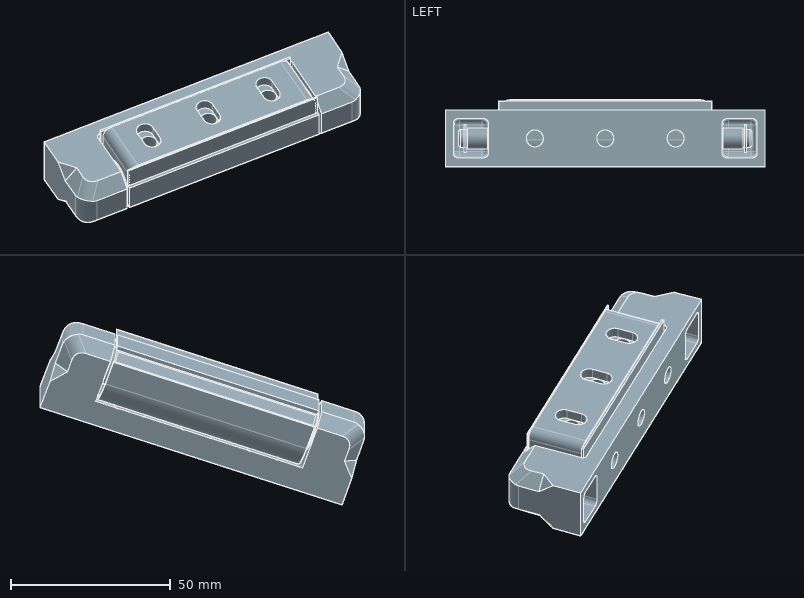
import cadquery as cq
housing_length = 100.0
housing_width = 26.0
housing_height = 17.8
half_length = housing_length / 2
mid_height = housing_height / 2

corner_radius = 5.0
bevel = 4.3
nose_start = 14.2
draft_angle = 0.5
run_out_start = 9.2

recess_wall = 5.0
recess_half_length = 34.2
recess_foot = 7.8
recess_sweep_radius = 15.0
recess_corner_radius = 1.2

screw_pitch = 22.0
screw_hole_diameter = 5.3
screw_head_diameter = 10.2

pocket_inner = 36.5
pocket_outer = 47.5
pocket_bottom = 2.8
pocket_top = 15.1
pocket_depth = 22.0
pocket_radius = 1.6
pocket_draft = 1.0

leaf_half_length = 32.7
leaf_top = 21.0
leaf_end_radius = 3.0
sheet_half_length = 33.3
sheet_top = 20.6
liner_face = 5.9
liner_thickness = 0.7
liner_bend_radius = 8.4
liner_floor_end = 22.0
cover_inner = 24.6
cover_outer = 25.0
leaf_face = liner_face + liner_thickness
leaf_foot_chamfer = 2.5

slot_pitch = 21.0
slot_x = 15.1
slot_length = 10.2
slot_width = 5.4
slot_depth = 3.5
leaf_hole_diameter = 5.3

pin_x = 17.2
pin_z = mid_height
pin_radius = 3.3
pin_start = 24.0
shank_end = 43.0
pin_end = 45.9
neck_radius = 2.8
pin_tip_chamfer = 0.6
washer_radius = 6.2
washer_waist_radius = 5.5
washer_rim = 0.2
ring_radius = 4.4
ring_start = 43.5
ring_thickness = 0.6


def box_between(x0, x1, y0, y1, z0, z1):
    """Axis-aligned box between two limits on each axis."""
    return cq.Workplane("XY").box(x1 - x0, y1 - y0, z1 - z0, centered=False).translate((x0, y0, z0))


def tetrahedron(a, b, c, d):
    faces = [
        cq.Face.makeFromWires(cq.Wire.makePolygon([cq.Vector(*p) for p in corners], close=True))
        for corners in ((a, b, c), (a, b, d), (b, c, d), (a, c, d))
    ]
    return cq.Workplane(obj=cq.Solid.makeSolid(cq.Shell.makeShell(faces)))


def disc(y0, y1, radius):
    """Cylinder on the hinge axis between two Y positions."""
    return cq.Workplane("XZ", origin=(pin_x, y0, pin_z)).circle(radius).extrude(-(y1 - y0))


def on_side(body, side):
    """Body made for the +Y end, mirrored when side is -1."""
    return body if side > 0 else body.mirror("XZ")


def housing_blank():
    """Full block, drafted toward +X, with rounded +X corners."""
    return (
        cq.Workplane("YZ", origin=(0, 0, mid_height))
        .rect(housing_length, housing_height)
        .extrude(housing_width, taper=draft_angle)
        .edges("|Z and >X")
        .fillet(corner_radius)
    )


def bevel_envelope():
    """Upper half of the 45 degree envelope that shapes the nose, with rounded mitres."""
    spread = mid_height - bevel
    tail = -housing_width
    face = housing_width + spread
    return (
        cq.Workplane("XY")
        .workplane(offset=mid_height)
        .center((tail + face) / 2, 0)
        .rect(face - tail, 2 * (half_length + spread))
        .extrude(mid_height, taper=45)
        .edges("not (|X or |Y)")
        .fillet(corner_radius)
    )


def nose_bevel(blank):
    """Material removed along the upper nose edges, with a sloping run-out at each end."""
    upper_nose = box_between(
        nose_start, housing_width, -half_length, half_length, mid_height, housing_height
    )
    removed = blank.intersect(upper_nose).cut(bevel_envelope())
    run_out = tetrahedron(
        (run_out_start, half_length, housing_height),
        (nose_start, half_length - bevel, housing_height),
        (nose_start, half_length, housing_height),
        (nose_start, half_length, housing_height - bevel),
    )
    return [removed, run_out, run_out.mirror("XZ")]


def leaf_recess():
    """Opening for the leaf, with a back wall that sweeps forward at its foot."""
    centre_x = recess_wall + recess_sweep_radius
    centre_z = (recess_sweep_radius ** 2 - (centre_x - recess_foot) ** 2) ** 0.5
    swept = (
        cq.Workplane("XZ", origin=(0, recess_half_length, 0))
        .moveTo(housing_width, 0)
        .lineTo(recess_foot, 0)
        .radiusArc((recess_wall, centre_z), recess_sweep_radius)
        .lineTo(recess_wall, housing_height)
        .lineTo(housing_width, housing_height)
        .close()
        .extrude(2 * recess_half_length)
    )
    rounded = box_between(
        recess_wall, housing_width, -recess_half_length, recess_half_length, 0, housing_height
    ).edges("|Z and <X").fillet(recess_corner_radius)
    return swept.intersect(rounded)


def screw_hole(y):
    sink_depth = (screw_head_diameter - screw_hole_diameter) / 2
    return (
        cq.Workplane("XY")
        .polyline([
            (0, 0), (0, screw_hole_diameter / 2),
            (recess_wall - sink_depth, screw_hole_diameter / 2),
            (recess_wall, screw_head_diameter / 2),
            (recess_foot, screw_head_diameter / 2), (recess_foot, 0),
        ])
        .close()
        .revolve(360, (0, 0, 0), (1, 0, 0))
        .translate((0, y, mid_height))
    )


def pin_pocket():
    """Drafted pocket at the +Y end, rounded at its corners and round its floor."""
    centre = (0, (pocket_inner + pocket_outer) / 2, (pocket_bottom + pocket_top) / 2)
    return (
        cq.Workplane("YZ", origin=centre)
        .rect(pocket_outer - pocket_inner, pocket_top - pocket_bottom)
        .extrude(pocket_depth, taper=pocket_draft)
        .edges("not <X")
        .fillet(pocket_radius)
    )


def make_housing():
    blank = housing_blank()
    body = blank
    for cutter in nose_bevel(blank):
        lower_cutter = cutter.mirror("XY", (0, 0, mid_height))
        body = body.cut(cutter).cut(lower_cutter)
    body = body.cut(leaf_recess())
    for row in (-1, 0, 1):
        body = body.cut(screw_hole(row * screw_pitch))
    for side in (-1, 1):
        body = body.cut(on_side(pin_pocket(), side))
        body = body.cut(on_side(disc(recess_half_length, shank_end, pin_radius), side))
    return body


def make_liner():
    """Bent sheet: wall on the -X side, bend, and floor under the leaf."""
    bend_x = liner_face + liner_bend_radius
    inner_radius = liner_bend_radius - liner_thickness
    return (
        cq.Workplane("XZ", origin=(0, sheet_half_length, 0))
        .moveTo(liner_face, sheet_top)
        .lineTo(liner_face, liner_bend_radius)
        .radiusArc((bend_x, 0), -liner_bend_radius)
        .lineTo(liner_floor_end, 0)
        .lineTo(liner_floor_end, liner_thickness)
        .lineTo(bend_x, liner_thickness)
        .radiusArc((leaf_face, liner_bend_radius), inner_radius)
        .lineTo(leaf_face, sheet_top)
        .close()
        .extrude(2 * sheet_half_length)
    )


def make_leaf():
    """Block that fills the liner, with stepped slots and a bore for each pin."""
    body = box_between(
        leaf_face, cover_inner, -leaf_half_length, leaf_half_length, liner_thickness, leaf_top
    )
    body = body.edges("|Y and <X and <Z").fillet(liner_bend_radius - liner_thickness)
    body = body.edges("|Y and >X and <Z").chamfer(leaf_foot_chamfer)
    body = body.edges("|X and >Z").fillet(leaf_end_radius)
    slot_places = [(slot_x, row * slot_pitch) for row in (-1, 0, 1)]
    top = cq.Workplane("XY", origin=(0, 0, leaf_top)).pushPoints(slot_places)
    body = body.cut(top.slot2D(slot_length, slot_width).extrude(-slot_depth))
    body = body.cut(top.circle(leaf_hole_diameter / 2).extrude(-leaf_top))
    for side in (-1, 1):
        body = body.cut(on_side(disc(pin_start, leaf_half_length, pin_radius), side))
    return body


def make_cover_strip():
    """Thin strip on the +X side of the leaf, thickened to the housing face between the bevels."""
    strip = box_between(
        cover_inner, cover_outer, -sheet_half_length, sheet_half_length, bevel, sheet_top
    )
    lip = box_between(
        cover_inner, housing_width, -sheet_half_length, sheet_half_length,
        bevel, housing_height - bevel,
    )
    return strip.union(lip)


def make_pin(side):
    """Hinge pin with a thinner neck that carries the retaining ring."""
    shank = disc(pin_start, shank_end, pin_radius)
    neck = disc(shank_end, pin_end, neck_radius).faces(">Y").chamfer(pin_tip_chamfer)
    return on_side(shank.union(neck), side)


def make_washer(side):
    """Spacer between the leaf and the housing, tapering to a waist behind a thin rim."""
    rim_start = recess_half_length - washer_rim
    washer = (
        cq.Workplane("XY")
        .polyline([
            (pin_radius, leaf_half_length), (washer_radius, leaf_half_length),
            (washer_waist_radius, rim_start), (washer_radius, rim_start),
            (washer_radius, recess_half_length), (pin_radius, recess_half_length),
        ])
        .close()
        .revolve(360, (0, 0, 0), (0, 1, 0))
        .translate((pin_x, 0, pin_z))
    )
    return on_side(washer, side)


def make_ring(side):
    ring_end = ring_start + ring_thickness
    ring = disc(ring_start, ring_end, ring_radius).cut(disc(ring_start, ring_end, neck_radius))
    return on_side(ring, side)


housing = make_housing()
liner = make_liner()
leaf = make_leaf()
cover_strip = make_cover_strip()

bodies = [housing.val(), liner.val(), leaf.val(), cover_strip.val()]
for end in (-1, 1):
    for make_body in (make_pin, make_washer, make_ring):
        bodies.append(make_body(end).val())

result = cq.Compound.makeCompound(bodies)